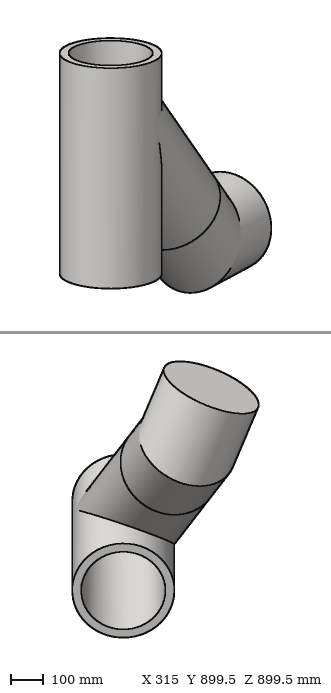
import cadquery as cq
import math

outer_diameter = 315.0
bore_diameter = 259.0

overall_length = 899.5
leg_length = 204.0
main_length = 711.0
branch_angle = 45.0

branch_run = overall_length - outer_diameter / 2 - leg_length
branch_drop = branch_run * math.tan(math.radians(branch_angle))
branch_direction = cq.Vector(
    0, math.cos(math.radians(branch_angle)), -math.sin(math.radians(branch_angle))
)
outlet_direction = cq.Vector(0, 1, 0)

junction = cq.Vector(0, 0, 0)
elbow_corner = cq.Vector(0, branch_run, -branch_drop)
joint = elbow_corner - branch_direction * leg_length
outlet_end = elbow_corner + outlet_direction * leg_length


def rod(start, end, diameter):
    """Solid round bar between two points."""
    axis = end - start
    return cq.Workplane(cq.Solid.makeCylinder(diameter / 2, axis.Length, start, axis))


def make_tee():
    """Upright pipe bored end to end, with a solid branch sloping off its side."""
    main_top = cq.Vector(0, 0, leg_length)
    main_bottom = cq.Vector(0, 0, leg_length - main_length)
    main = rod(main_top, main_bottom, outer_diameter)
    branch = rod(junction, joint, outer_diameter)
    bore = rod(main_top, main_bottom, bore_diameter)
    return main.union(branch).cut(bore)


def make_elbow():
    """Two straight solid legs, mitred at the corner."""
    profile_plane = cq.Plane(origin=joint, xDir=(1, 0, 0), normal=branch_direction)
    path = cq.Workplane(obj=cq.Wire.makePolygon([joint, elbow_corner, outlet_end]))
    return cq.Workplane(profile_plane).circle(outer_diameter / 2).sweep(path, transition="right")


tee = make_tee()
elbow = make_elbow()

result = cq.Compound.makeCompound([tee.solids().val(), elbow.solids().val()])